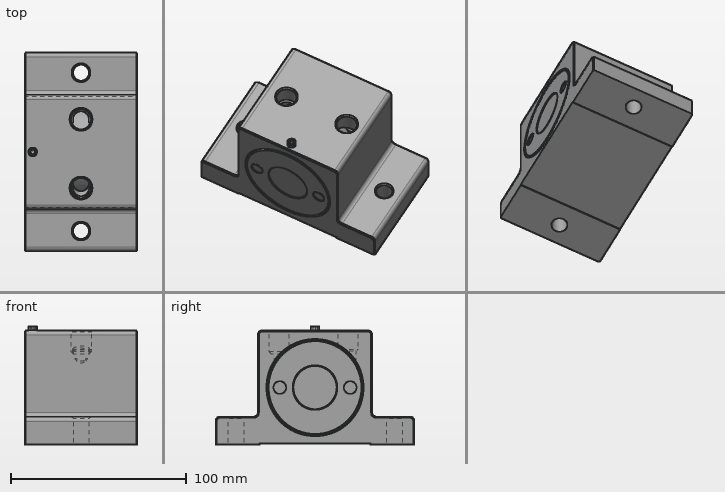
import cadquery as cq
import math

housing_length = 64.0
overall_width = 113.0
block_width = 65.0
block_height = 65.0
flange_height = 15.9
profile_radius = 2.5
end_chamfer = 0.7
relief_width = 63.0
relief_depth = 0.7

insert_height = block_height / 2
insert_diameter = 54.0
insert_chamfer = 0.7
hub_diameter = 25.4
hub_floor_diameter = 24.5
hub_depth = 0.5
pin_hole_diameter = 7.2
pin_hole_depth = 0.7
pin_hole_offset = 20.0

mount_hole_diameter = 9.0
mount_hole_mouth = 10.7
mount_hole_offset = 45.0

port_mouth_diameter = 13.1
port_diameter = 11.4
port_tip_angle = 70.0

inlet_y = -20.6
inlet_shoulder_depth = 11.9
inlet_drill_diameter = 9.3
inlet_drill_depth = 13.3
inlet_shoulder_angle = 80.0

outlet_y = 18.5
outlet_shoulder_depth = 10.8
outlet_drill_diameter = 9.0
outlet_drill_depth = 22.6
outlet_shoulder_angle = 118.0

screw_diameter = 5.0
screw_top_diameter = 4.2
screw_x = -27.5
screw_top = 67.5
socket_flats = 2.6
socket_depth = 1.7
socket_tip_angle = 120.0


def tip_height(diameter, angle):
    """Height of a cone with the given base diameter and included angle."""
    return diameter / 2 / math.tan(math.radians(angle / 2))


def revolved(points, y):
    """Turn (radius, height) points about the vertical axis at x = 0 and the given y."""
    return cq.Workplane("XZ").polyline(points).close().revolve().translate((0, y, 0))


def make_housing():
    """Stepped block with rounded steps, chamfered ends and a relieved underside."""
    flange = cq.Workplane("XY").box(
        housing_length, overall_width, flange_height, centered=(True, True, False)
    )
    block = cq.Workplane("XY").box(
        housing_length, block_width, block_height, centered=(True, True, False)
    )
    housing = flange.union(block)
    housing = housing.edges("|X").edges("not <Z").fillet(profile_radius)
    end_edges = housing.faces("<X or >X").edges("not <Z")
    housing = end_edges.chamfer(end_chamfer)
    relief = cq.Workplane("XY").box(
        housing_length, relief_width, relief_depth, centered=(True, True, False)
    )
    return housing.cut(relief)


def make_end_details():
    """Seam groove, hub recess and pin holes cut into the -X end of the insert."""
    face_x = -housing_length / 2
    seam_radius = insert_diameter / 2
    seam = (
        cq.Workplane("XY")
        .polyline(
            [
                (face_x, seam_radius - insert_chamfer),
                (face_x + insert_chamfer, seam_radius),
                (face_x, seam_radius + insert_chamfer),
            ]
        )
        .close()
        .revolve(360, (0, 0, 0), (1, 0, 0))
    )
    end_plane = cq.Workplane("YZ", origin=(face_x, 0, 0))
    hub = cq.Workplane(
        cq.Solid.makeCone(
            hub_diameter / 2,
            hub_floor_diameter / 2,
            hub_depth,
            pnt=cq.Vector(face_x, 0, 0),
            dir=cq.Vector(1, 0, 0),
        )
    )
    pins = (
        end_plane.pushPoints([(-pin_hole_offset, 0), (pin_hole_offset, 0)])
        .circle(pin_hole_diameter / 2)
        .extrude(pin_hole_depth)
    )
    return seam.union(hub).union(pins).translate((0, 0, insert_height))


def make_mount_hole(y):
    """Through hole with a 45 degree chamfer at the top of the flange."""
    hole_radius = mount_hole_diameter / 2
    mouth_radius = mount_hole_mouth / 2
    return revolved(
        [
            (0, 0),
            (hole_radius, 0),
            (hole_radius, flange_height - (mouth_radius - hole_radius)),
            (mouth_radius, flange_height),
            (0, flange_height),
        ],
        y,
    )


def make_port(y, shoulder_depth, shoulder_angle, drill_diameter, drill_depth):
    """Stepped port that ends on the round side of the insert."""
    mouth_radius = port_mouth_diameter / 2
    port_radius = port_diameter / 2
    drill_radius = drill_diameter / 2
    shoulder_z = block_height - shoulder_depth
    shoulder_drop = tip_height(port_diameter - drill_diameter, shoulder_angle)
    drill_z = block_height - drill_depth
    port = revolved(
        [
            (0, block_height),
            (mouth_radius, block_height),
            (port_radius, block_height - (mouth_radius - port_radius)),
            (port_radius, shoulder_z),
            (drill_radius, shoulder_z - shoulder_drop),
            (drill_radius, drill_z),
            (0, drill_z - tip_height(drill_diameter, port_tip_angle)),
        ],
        y,
    )
    insert = (
        cq.Workplane("YZ")
        .center(0, insert_height)
        .circle(insert_diameter / 2)
        .extrude(housing_length / 2, both=True)
    )
    return port.cut(insert)


def make_screw():
    """Chamfered screw end with a hexagon socket."""
    top_chamfer = (screw_diameter - screw_top_diameter) / 2
    return (
        cq.Workplane("XY", origin=(screw_x, 0, block_height))
        .circle(screw_diameter / 2)
        .extrude(screw_top - block_height)
        .faces(">Z")
        .chamfer(top_chamfer)
    )


def make_socket():
    """Hexagon socket with a conical bottom, sunk into the screw."""
    corner_diameter = socket_flats / math.cos(math.pi / 6)
    hexagon = (
        cq.Workplane("XY", origin=(screw_x, 0, screw_top))
        .polygon(6, corner_diameter)
        .extrude(-socket_depth)
    )
    floor = screw_top - socket_depth
    tip = revolved(
        [
            (0, floor),
            (socket_flats / 2, floor),
            (0, floor - tip_height(socket_flats, socket_tip_angle)),
        ],
        0,
    )
    return hexagon.union(tip.translate((screw_x, 0, 0)))


result = make_housing().union(make_screw()).cut(make_socket())

end_details = make_end_details()
result = result.cut(end_details).cut(end_details.mirror("YZ"))

for side in (-1, 1):
    result = result.cut(make_mount_hole(side * mount_hole_offset))

inlet = make_port(
    inlet_y, inlet_shoulder_depth, inlet_shoulder_angle, inlet_drill_diameter, inlet_drill_depth
)
outlet = make_port(
    outlet_y, outlet_shoulder_depth, outlet_shoulder_angle, outlet_drill_diameter, outlet_drill_depth
)
result = result.cut(inlet).cut(outlet)